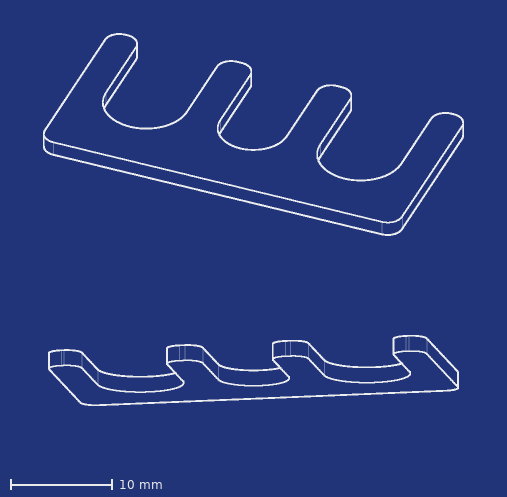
import cadquery as cq

length = 38.1
width = length / 2
thickness = 1.55
corner_radius = 1.52

slot_pitch = 11.43
outer_slot_width = 8.6
middle_slot_width = 7.1
slot_arc_center_y = 0.0


def slot(center_x, slot_width):
    """Cutter with a round bottom that runs out through the +Y edge."""
    radius = slot_width / 2
    return (
        cq.Workplane("XY")
        .moveTo(center_x - radius, width / 2)
        .lineTo(center_x - radius, slot_arc_center_y)
        .threePointArc(
            (center_x, slot_arc_center_y - radius),
            (center_x + radius, slot_arc_center_y),
        )
        .lineTo(center_x + radius, width / 2)
        .close()
        .extrude(thickness)
    )


plate = cq.Workplane("XY").box(length, width, thickness, centered=(True, True, False))

slots = (
    (-slot_pitch, outer_slot_width),
    (0.0, middle_slot_width),
    (slot_pitch, outer_slot_width),
)
for center_x, slot_width in slots:
    plate = plate.cut(slot(center_x, slot_width))

finger_tip_edges = plate.faces(">Y").edges("|Z")
base_corner_edges = plate.faces("<Y").edges("|Z")
result = finger_tip_edges.add(base_corner_edges).fillet(corner_radius)